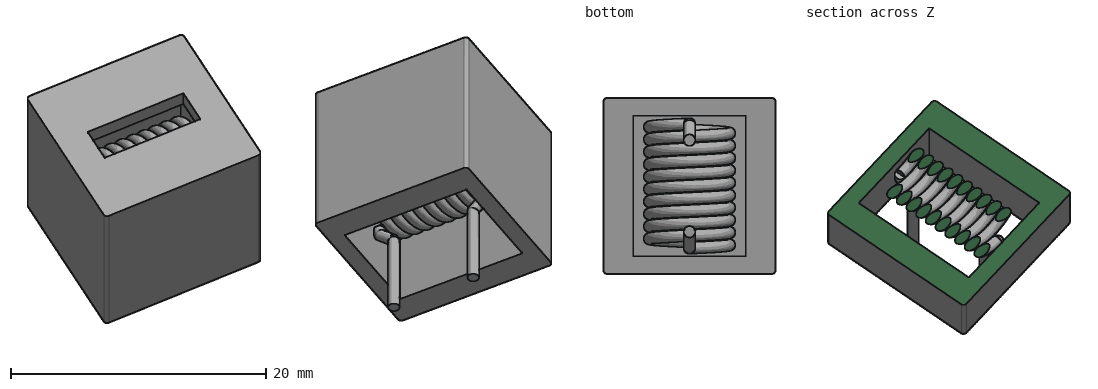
import cadquery as cq

housing_x = 13.5
housing_y = 13.8
housing_height = 13.5
corner_radius = 0.3
roof_thickness = 1.35
cavity_x = 8.8
cavity_y = 11.0
window_x = 2.9
window_y = 8.44

wire_diameter = 0.9
coil_radius = 3.15
coil_length = 9.73
coil_turns = 10
coil_axis_z = housing_height / 2
coil_pitch = coil_length / coil_turns
coil_end_y = coil_length / 2
coil_bottom_z = coil_axis_z - coil_radius

lead_spacing = 7.18
lead_length = 5.0
lead_drop = 0.55
lead_step_height = 1.11
lead_y = lead_spacing / 2
step_top_z = coil_bottom_z - lead_drop
step_bottom_z = step_top_z - lead_step_height


def make_housing():
    block = (
        cq.Workplane("XY")
        .rect(housing_x, housing_y)
        .extrude(housing_height)
        .edges("|Z")
        .fillet(corner_radius)
    )
    cavity = cq.Workplane("XY").rect(cavity_x, cavity_y).extrude(housing_height - roof_thickness)
    window = cq.Workplane("XY").rect(window_x, window_y).extrude(housing_height)
    return block.cut(cavity).cut(window)


def make_winding():
    """Helix from the bottom of the first turn to the bottom of the last one."""
    helix = cq.Wire.makeHelix(coil_pitch, coil_length, coil_radius)
    winding = (
        cq.Workplane("XZ")
        .center(coil_radius, 0)
        .circle(wire_diameter / 2)
        .sweep(cq.Workplane(obj=helix), isFrenet=True)
    )
    coil_frame = cq.Plane(origin=(0, -coil_end_y, coil_axis_z), xDir=(0, 0, -1), normal=(0, 1, 0))
    return cq.Workplane(obj=winding.val().moved(cq.Location(coil_frame)))


def make_lead(side):
    """Lead at the +Y (side = 1) or -Y (side = -1) end of the winding."""
    path = cq.Workplane("YZ").polyline([
        (side * coil_end_y, coil_bottom_z),
        (side * coil_end_y, step_top_z),
        (side * lead_y, step_bottom_z),
        (side * lead_y, -lead_length),
    ])
    return (
        cq.Workplane("XY", origin=(0, side * coil_end_y, coil_bottom_z))
        .circle(wire_diameter / 2)
        .sweep(path, transition="round")
    )


def make_coil():
    coil = make_winding()
    for side in (-1, 1):
        coil = coil.union(make_lead(side))
    return coil


housing = make_housing()
coil = make_coil()

result = cq.Compound.makeCompound([housing.val(), *coil.vals()])